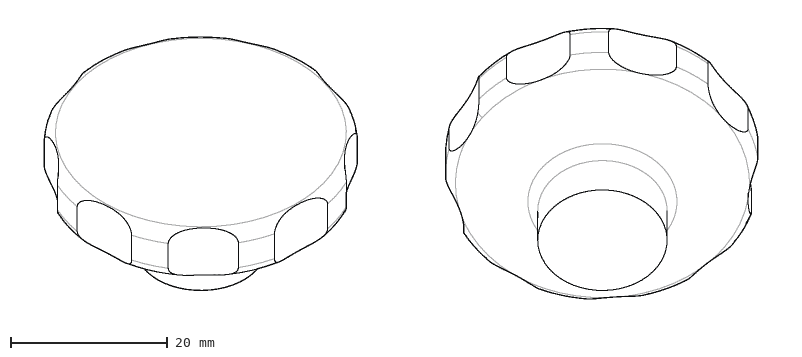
import cadquery as cq
import math

knob_radius = 20.0
knob_height = 22.0

hub_radius = 16.5 / 2
hub_corner_height = 7.3
rim_lower_height = 12.0
rim_upper_height = 19.0
edge_fillet = 2.0

scallop_count = 9
scallop_radius = 13.0
scallop_floor_radius = 18.7
first_scallop_angle = -90.0


def dome_height(radius):
    """Height of the spherical top at a given distance from the axis."""
    crown = knob_height - rim_upper_height
    dome_radius = (knob_radius**2 + crown**2) / (2 * crown)
    return knob_height - dome_radius + math.sqrt(dome_radius**2 - radius**2)


def make_body():
    """Revolved hub, cone, rim and dome with every corner but the hub base rounded."""
    mid_radius = knob_radius / 2
    body = (
        cq.Workplane("XZ")
        .lineTo(hub_radius, 0)
        .lineTo(hub_radius, hub_corner_height)
        .lineTo(knob_radius, rim_lower_height)
        .lineTo(knob_radius, rim_upper_height)
        .threePointArc((mid_radius, dome_height(mid_radius)), (0, knob_height))
        .close()
        .revolve(360, (0, 0, 0), (0, 1, 0))
    )
    rounded_corners = cq.selectors.BoxSelector(
        (-hub_radius, -hub_radius, hub_corner_height / 2),
        (hub_radius, hub_radius, knob_height),
    )
    return body.edges("%CIRCLE").edges(rounded_corners).fillet(edge_fillet)


def make_scallop_cutters():
    """Vertical cylinders spaced evenly around the rim."""
    return (
        cq.Workplane("XY")
        .polarArray(
            scallop_floor_radius + scallop_radius,
            first_scallop_angle,
            360,
            scallop_count,
        )
        .circle(scallop_radius)
        .extrude(knob_height)
    )


result = make_body().cut(make_scallop_cutters())